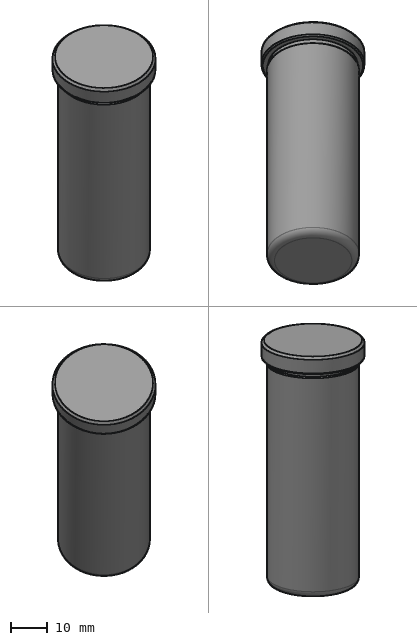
import cadquery as cq

total_height = 70.0
head_diameter = 28.0
body_diameter = 25.05
neck_diameter = 24.35

head_height = 5.05
neck_height = 1.2

head_top_chamfer = 0.7
head_bottom_chamfer = 0.4
body_top_chamfer = 0.35
body_bottom_fillet = 2.0

head_bottom = total_height - head_height
body_height = head_bottom - neck_height


def disc(diameter, height, base):
    """Solid cylinder on the Z axis, standing on the given height."""
    return cq.Workplane("XY").workplane(offset=base).circle(diameter / 2).extrude(height)


body = disc(body_diameter, body_height, 0)
body = body.faces("<Z").edges().fillet(body_bottom_fillet)
body = body.faces(">Z").edges().chamfer(body_top_chamfer)

neck = disc(neck_diameter, neck_height, body_height)

head = disc(head_diameter, head_height, head_bottom)
head = head.faces(">Z").edges().chamfer(head_top_chamfer)
head = head.faces("<Z").edges().chamfer(head_bottom_chamfer)

result = body.union(neck).union(head)